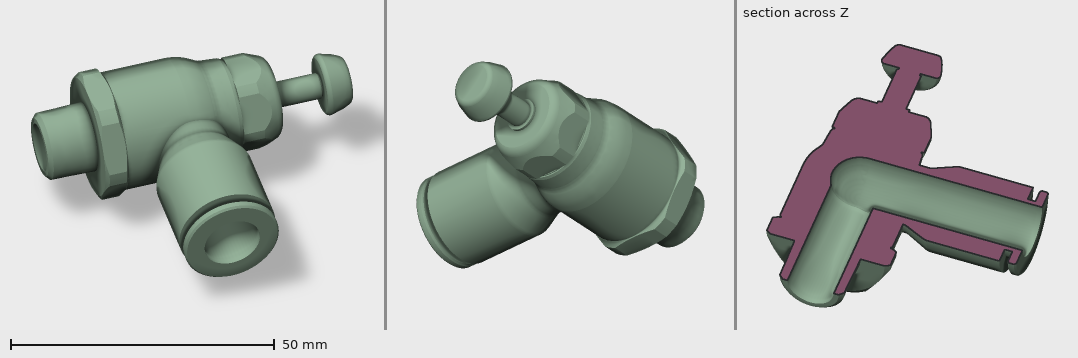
import cadquery as cq
import math


body_radius = 11.4
body_bottom = -13.3
shoulder_end = 4.95
shoulder_mid = 2.75
shoulder_arc_radius = 9.3
collar_start = 6.2
collar_start_radius = 9.5
collar_end_radius = 9.3
body_top = 10.1
body_top_chamfer_height = 0.6
body_top_radius = 9.0

cap_flats = 17.15
cap_corner_radius = 9.35
cap_bottom = 10.3
cap_corner_top = 14.35
cap_crown_start = 17.45
cap_crown_radius = 8.1
cap_top = 18.7
cap_top_radius = 6.7
cap_gap_radius = 8.8

stem_collar_radius = 3.25
stem_collar_top = 19.3
stem_radius = 2.5
stem_relief_radius = 2.2
knob_bottom = 28.05
stem_top = 27.75
knob_bottom_radius = 5.35
knob_rim = 29.0
knob_rim_radius = 6.0
knob_shoulder = 32.9
knob_shoulder_radius = 4.7
knob_bulge = 0.2
knob_rim_bulge = 0.1
knob_top = 33.5
knob_top_radius = 3.8

nut_flats = 23.0
nut_corner_radius = 12.5
nut_top = -13.5
nut_gap_radius = 11.1
nut_bottom = -18.0
nut_chamfer_height = 0.55

thread_start_radius = 6.7
thread_break = -23.0
thread_break_radius = 6.6
thread_end_radius = 6.5
thread_tip = -27.5
thread_chamfer_height = 0.8
thread_tip_radius = 5.7

port_neck_radius = 7.3
port_neck_end = 11.4
port_cone_start = 12.15
port_cone_start_radius = 7.5
port_cone_end = 16.15
port_cone_end_radius = 9.35
port_start = 16.9
port_radius = 9.5
port_end = 31.6
port_groove_radius = 6.5
flange_start = 33.05
flange_end = 34.85
flange_radius = 9.35
flange_chamfer = 0.35

bore_radius = 4.65
port_bore_radius = 5.5


def turn_about_y(points):
    """Turn a closed (radius, y) outline about the valve axis."""
    return cq.Workplane("XY").polyline(points).close().revolve(360, (0, 0, 0), (0, 1, 0))


def hexagon(across_flats, bottom, top):
    """Hexagonal prism along Y with corners on the X axis."""
    across_corners = across_flats / math.cos(math.pi / 6)
    return cq.Workplane("XZ", origin=(0, top, 0)).polygon(6, across_corners).extrude(top - bottom)


def make_body():
    centre_radius = body_radius - shoulder_arc_radius
    shoulder_mid_radius = centre_radius + math.sqrt(shoulder_arc_radius**2 - shoulder_mid**2)
    shoulder_radius = centre_radius + math.sqrt(shoulder_arc_radius**2 - shoulder_end**2)
    return (
        cq.Workplane("XY")
        .moveTo(0, body_bottom)
        .lineTo(body_radius, body_bottom)
        .lineTo(body_radius, 0)
        .threePointArc((shoulder_mid_radius, shoulder_mid), (shoulder_radius, shoulder_end))
        .tangentArcPoint((collar_start_radius, collar_start), relative=False)
        .lineTo(collar_end_radius, body_top - body_top_chamfer_height)
        .lineTo(body_top_radius, body_top)
        .lineTo(0, body_top)
        .close()
        .revolve(360, (0, 0, 0), (0, 1, 0))
    )


def make_cap():
    crown = (
        cq.Workplane("XY")
        .moveTo(0, cap_bottom)
        .lineTo(cap_corner_radius, cap_bottom)
        .lineTo(cap_corner_radius, cap_corner_top)
        .lineTo(cap_crown_radius, cap_crown_start)
        .tangentArcPoint((cap_top_radius, cap_top), relative=False)
        .lineTo(0, cap_top)
        .close()
        .revolve(360, (0, 0, 0), (0, 1, 0))
    )
    gap_core = turn_about_y([
        (0, body_top),
        (cap_gap_radius, body_top),
        (cap_gap_radius, cap_bottom),
        (0, cap_bottom),
    ])
    return crown.intersect(hexagon(cap_flats, cap_bottom, cap_top)).union(gap_core)


def make_stem():
    return turn_about_y([
        (0, cap_top),
        (stem_collar_radius, cap_top),
        (stem_collar_radius, stem_collar_top),
        (stem_radius, stem_collar_top),
        (stem_radius, stem_top),
        (stem_relief_radius, stem_top),
        (stem_relief_radius, knob_bottom),
        (0, knob_bottom),
    ])


def make_knob():
    rim_middle = (
        (knob_rim_radius + knob_bottom_radius) / 2 + knob_rim_bulge,
        (knob_rim + knob_bottom) / 2 - knob_rim_bulge,
    )
    side_middle = (
        (knob_rim_radius + knob_shoulder_radius) / 2 + knob_bulge,
        (knob_rim + knob_shoulder) / 2,
    )
    return (
        cq.Workplane("XY")
        .moveTo(0, knob_bottom)
        .lineTo(knob_bottom_radius, knob_bottom)
        .threePointArc(rim_middle, (knob_rim_radius, knob_rim))
        .threePointArc(side_middle, (knob_shoulder_radius, knob_shoulder))
        .tangentArcPoint((knob_top_radius, knob_top), relative=False)
        .lineTo(0, knob_top)
        .close()
        .revolve(360, (0, 0, 0), (0, 1, 0))
    )


def make_nut():
    face_radius = nut_flats / 2
    chamfered_disc = turn_about_y([
        (0, nut_bottom),
        (face_radius, nut_bottom),
        (nut_corner_radius, nut_bottom + nut_chamfer_height),
        (nut_corner_radius, nut_top - nut_chamfer_height),
        (face_radius, nut_top),
        (0, nut_top),
    ])
    gap_core = turn_about_y([
        (0, nut_top),
        (nut_gap_radius, nut_top),
        (nut_gap_radius, body_bottom),
        (0, body_bottom),
    ])
    return chamfered_disc.intersect(hexagon(nut_flats, nut_bottom, nut_top)).union(gap_core)


def make_thread():
    return turn_about_y([
        (0, thread_tip),
        (thread_tip_radius, thread_tip),
        (thread_end_radius, thread_tip + thread_chamfer_height),
        (thread_break_radius, thread_break),
        (thread_start_radius, nut_bottom),
        (0, nut_bottom),
    ])


def make_port():
    return (
        cq.Workplane("XY")
        .lineTo(0, port_neck_radius)
        .lineTo(port_neck_end, port_neck_radius)
        .tangentArcPoint((port_cone_start, port_cone_start_radius), relative=False)
        .lineTo(port_cone_end, port_cone_end_radius)
        .tangentArcPoint((port_start, port_radius), relative=False)
        .lineTo(port_end, port_radius)
        .lineTo(port_end, port_groove_radius)
        .lineTo(flange_start, port_groove_radius)
        .lineTo(flange_start, flange_radius - flange_chamfer)
        .lineTo(flange_start + flange_chamfer, flange_radius)
        .lineTo(flange_end - flange_chamfer, flange_radius)
        .lineTo(flange_end, flange_radius - flange_chamfer)
        .lineTo(flange_end, 0)
        .close()
        .revolve(360, (0, 0, 0), (1, 0, 0))
    )


def make_elbow_bore():
    """Passage from the threaded end to the port, rounded at the corner."""
    thread_bore = cq.Workplane("XZ").circle(bore_radius).extrude(-thread_tip)
    port_bore = cq.Workplane("YZ").circle(port_bore_radius).extrude(flange_end)
    corner = cq.Workplane("XY").sphere(port_bore_radius)
    return thread_bore.union(port_bore).union(corner)


result = (
    make_body()
    .union(make_cap())
    .union(make_stem())
    .union(make_knob())
    .union(make_nut())
    .union(make_thread())
    .union(make_port())
    .cut(make_elbow_bore())
)